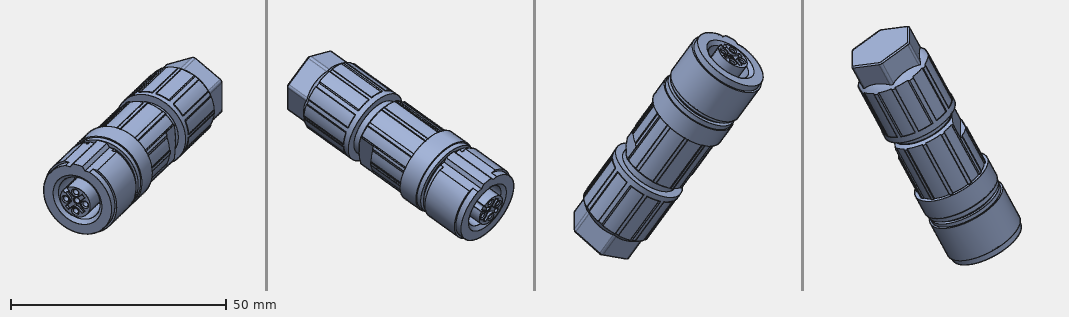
import cadquery as cq
import math

LENGTH = 58.0

SLEEVE_FRONT = 1.1
SLEEVE_BAND_REAR = 2.7
SLEEVE_BODY_REAR = 12.1
SLEEVE_REAR = 13.05
FRONT_NECK_REAR = 13.75
SHOULDER_REAR = 14.95
COLLAR_REAR = 20.0
GRIP_CHAMFER = 34.4
GRIP_REAR = 35.05
REAR_NECK_REAR = 36.8
NUT_BAND_REAR = 38.35
NUT_REAR = 50.75
CROWN_MIDDLE = 51.75
CROWN_REAR = 52.5

OUTER_RADIUS = 18.95 / 2
SLEEVE_BAND_RADIUS = 9.0
FRONT_NECK_RADIUS = 8.1
NUT_RADIUS = 9.15
GRIP_RADIUS = 8.8
GRIP_REAR_RADIUS = 7.55
REAR_NECK_RADIUS = 7.25
CROWN_MIDDLE_RADIUS = 8.35

HEX_FLAT = 7.4
HEX_CORNER_FILLET = 0.85
HEX_END_CHAMFER = 0.35

RIB_WIDTH = 0.85
NUT_POCKET_DEPTH = 0.2
NUT_END_WALL = 8.2
NUT_MIDDLE_WALL = 5.05
GRIP_POCKET_DEPTH = 0.3
GRIP_TOP_WALL_ANGLE = 30.4
GRIP_SIDE_WALL = 7.8
GRIP_MIDDLE_WALL_X = 5.15
GRIP_MIDDLE_WALL_Z = 4.8

WRENCH_FLAT = HEX_FLAT
WRENCH_FLAT_FRONT = 30.45
WRENCH_STEP_RUN = 0.4

SLEEVE_FLAT_HEIGHT = 8.4
RIDGE_TOP_WIDTH = 2.45
RIDGE_BASE_WIDTH = 3.95

SOCKET_MOUTH_RADIUS = 6.45
SOCKET_RADIUS = 5.5
SOCKET_CHAMFER_DEPTH = 0.85
SOCKET_DEPTH = 8.7
INSERT_RADIUS = 3.95
KEYWAY_RADIUS = 0.75
KEYWAY_CENTRE = 3.6
KEYWAY_ANGLE = 135
CONTACT_CIRCLE_RADIUS = 2.55
CONTACT_COUNT = 4
CONTACT_MOUTH_RADIUS = 1.0
CONTACT_BORE_RADIUS = 0.7
CENTRE_MOUTH_RADIUS = 0.85
CONTACT_DEPTH = 3.5
CROSS_ARM_WIDTH = 1.05
CROSS_ARM_REACH = 3.1
CROSS_DEPTH = 0.7


def along_y(start):
    """XZ workplane at Y = start; a negative extrusion length runs toward +Y."""
    return cq.Workplane("XZ", origin=(0, start, 0))


def cylinder(radius, start, end):
    return along_y(start).circle(radius).extrude(start - end)


def turned_body():
    """Sleeve, collar, grip, nut and crown as one turned solid."""
    return (
        cq.Workplane("XY")
        .moveTo(0, SLEEVE_FRONT)
        .lineTo(SLEEVE_BAND_RADIUS, SLEEVE_FRONT)
        .lineTo(SLEEVE_BAND_RADIUS, SLEEVE_BAND_REAR)
        .lineTo(OUTER_RADIUS, SLEEVE_BAND_REAR)
        .lineTo(OUTER_RADIUS, SLEEVE_BODY_REAR)
        .lineTo(SLEEVE_BAND_RADIUS, SLEEVE_BODY_REAR)
        .lineTo(SLEEVE_BAND_RADIUS, SLEEVE_REAR)
        .lineTo(FRONT_NECK_RADIUS, SLEEVE_REAR)
        .lineTo(FRONT_NECK_RADIUS, FRONT_NECK_REAR)
        .lineTo(NUT_RADIUS, FRONT_NECK_REAR)
        .lineTo(NUT_RADIUS, SHOULDER_REAR)
        .lineTo(OUTER_RADIUS, SHOULDER_REAR)
        .lineTo(OUTER_RADIUS, COLLAR_REAR)
        .lineTo(GRIP_RADIUS, COLLAR_REAR)
        .lineTo(GRIP_RADIUS, GRIP_CHAMFER)
        .lineTo(GRIP_REAR_RADIUS, GRIP_REAR)
        .lineTo(REAR_NECK_RADIUS, GRIP_REAR)
        .lineTo(REAR_NECK_RADIUS, REAR_NECK_REAR)
        .lineTo(NUT_RADIUS, REAR_NECK_REAR)
        .lineTo(NUT_RADIUS, NUT_REAR)
        .threePointArc((CROWN_MIDDLE_RADIUS, CROWN_MIDDLE), (HEX_FLAT, CROWN_REAR))
        .lineTo(0, CROWN_REAR)
        .close()
        .revolve(360, (0, 0, 0), (0, 1, 0))
    )


def hex_end():
    """Chamfered hexagon, long enough to be rooted inside the nut."""
    corner_diameter = 2 * HEX_FLAT / math.cos(math.pi / 6)
    return (
        along_y(NUT_BAND_REAR)
        .transformed(rotate=(0, 0, 90))
        .polygon(6, corner_diameter)
        .extrude(NUT_BAND_REAR - LENGTH)
        .edges("|Y")
        .fillet(HEX_CORNER_FILLET)
        .faces(">Y")
        .chamfer(HEX_END_CHAMFER)
    )


def corner_region(x, z, start, end):
    """Everything beyond x and beyond z in the +X +Z quadrant."""
    return along_y(start).moveTo(x, z).rect(LENGTH, LENGTH, centered=False).extrude(start - end)


def nut_pocket_outlines(start, end):
    half_rib = RIB_WIDTH / 2
    return [
        corner_region(half_rib, NUT_END_WALL, start, end),
        corner_region(NUT_MIDDLE_WALL, NUT_MIDDLE_WALL, start, end),
        corner_region(NUT_END_WALL, half_rib, start, end),
    ]


def grip_pocket_outlines(start, end):
    half_rib = RIB_WIDTH / 2
    wall_slope = math.tan(math.radians(GRIP_TOP_WALL_ANGLE))
    top_pocket = (
        along_y(start)
        .moveTo(half_rib, half_rib / wall_slope)
        .lineTo(half_rib, LENGTH)
        .lineTo(LENGTH * wall_slope, LENGTH)
        .close()
        .extrude(start - end)
    )
    return [
        top_pocket,
        corner_region(GRIP_MIDDLE_WALL_X, GRIP_MIDDLE_WALL_Z, start, end),
        corner_region(GRIP_SIDE_WALL, half_rib, start, end),
    ]


def rib_pockets(outlines, floor_radius, start, end):
    """Pockets outside floor_radius, mirrored from the +X +Z quadrant into all four."""
    ring = cylinder(OUTER_RADIUS, start, end).cut(cylinder(floor_radius, start, end))
    quadrant = [outline.intersect(ring) for outline in outlines]
    upper = quadrant + [pocket.mirror("YZ") for pocket in quadrant]
    return upper + [pocket.mirror("XY") for pocket in upper]


def wrench_flat(side):
    """Material beyond the wrench flat; side is 1 for +X and -1 for -X."""
    step_slope = WRENCH_STEP_RUN / (GRIP_RADIUS - WRENCH_FLAT)
    step_front = WRENCH_FLAT_FRONT - step_slope * (OUTER_RADIUS - WRENCH_FLAT)
    return (
        cq.Workplane("XY")
        .moveTo(side * WRENCH_FLAT, WRENCH_FLAT_FRONT)
        .lineTo(side * OUTER_RADIUS, step_front)
        .lineTo(side * OUTER_RADIUS, GRIP_REAR)
        .lineTo(side * WRENCH_FLAT, GRIP_REAR)
        .close()
        .extrude(OUTER_RADIUS, both=True)
    )


def ridge_flat(side):
    """Material beside the index ridge; side is 1 for +X and -1 for -X."""
    return (
        along_y(SLEEVE_FRONT)
        .moveTo(side * RIDGE_BASE_WIDTH / 2, SLEEVE_FLAT_HEIGHT)
        .lineTo(side * OUTER_RADIUS, SLEEVE_FLAT_HEIGHT)
        .lineTo(side * OUTER_RADIUS, OUTER_RADIUS)
        .lineTo(side * RIDGE_TOP_WIDTH / 2, OUTER_RADIUS)
        .close()
        .extrude(SLEEVE_FRONT - SLEEVE_REAR)
    )


def index_ridge():
    """Ridge that carries the full outer radius over both ends of the sleeve."""
    blank = (
        along_y(SLEEVE_FRONT)
        .polyline([
            (-RIDGE_BASE_WIDTH / 2, SLEEVE_FLAT_HEIGHT),
            (RIDGE_BASE_WIDTH / 2, SLEEVE_FLAT_HEIGHT),
            (RIDGE_TOP_WIDTH / 2, OUTER_RADIUS),
            (-RIDGE_TOP_WIDTH / 2, OUTER_RADIUS),
        ])
        .close()
        .extrude(SLEEVE_FRONT - SLEEVE_REAR)
    )
    return blank.intersect(cylinder(OUTER_RADIUS, SLEEVE_FRONT, SLEEVE_REAR))


def socket():
    socket_floor = SLEEVE_FRONT + SOCKET_DEPTH
    return (
        cq.Workplane("XY")
        .moveTo(0, SLEEVE_FRONT)
        .lineTo(SOCKET_MOUTH_RADIUS, SLEEVE_FRONT)
        .lineTo(SOCKET_RADIUS, SLEEVE_FRONT + SOCKET_CHAMFER_DEPTH)
        .lineTo(SOCKET_RADIUS, socket_floor)
        .lineTo(0, socket_floor)
        .close()
        .revolve(360, (0, 0, 0), (0, 1, 0))
    )


def contact_hole(x, z, mouth_radius):
    """Countersunk blind hole starting at Y = 0."""
    return (
        cq.Workplane("XY")
        .lineTo(mouth_radius, 0)
        .lineTo(CONTACT_BORE_RADIUS, mouth_radius - CONTACT_BORE_RADIUS)
        .lineTo(CONTACT_BORE_RADIUS, CONTACT_DEPTH)
        .lineTo(0, CONTACT_DEPTH)
        .close()
        .revolve(360, (0, 0, 0), (0, 1, 0))
        .translate((x, 0, z))
    )


def cross_recess():
    """Diagonal cross whose inner corners are rounded concentric with the contacts."""
    arm = (
        along_y(0)
        .transformed(rotate=(0, 0, 45))
        .rect(2 * CROSS_ARM_REACH, CROSS_ARM_WIDTH)
        .extrude(-CROSS_DEPTH)
    )
    other_arm = arm.rotate((0, 0, 0), (0, 1, 0), 90)
    corner_radius = CONTACT_CIRCLE_RADIUS / math.sqrt(2) - CROSS_ARM_WIDTH / 2
    inner_corners = cq.selectors.BoxSelector(
        (-CROSS_ARM_WIDTH, -LENGTH, -CROSS_ARM_WIDTH),
        (CROSS_ARM_WIDTH, LENGTH, CROSS_ARM_WIDTH),
    )
    return arm.union(other_arm).edges("|Y").edges(inner_corners).fillet(corner_radius)


def contact_insert():
    """Keyed insert standing on the socket floor, with a centre contact and a ring of contacts."""
    socket_floor = SLEEVE_FRONT + SOCKET_DEPTH
    insert = cylinder(INSERT_RADIUS, 0, socket_floor)
    keyway_x = KEYWAY_CENTRE * math.cos(math.radians(KEYWAY_ANGLE))
    keyway_z = KEYWAY_CENTRE * math.sin(math.radians(KEYWAY_ANGLE))
    keyway = cylinder(KEYWAY_RADIUS, 0, socket_floor)
    insert = insert.cut(keyway.translate((keyway_x, 0, keyway_z)))
    insert = insert.cut(cross_recess())
    centre_hole = contact_hole(0, 0, CENTRE_MOUTH_RADIUS).translate((0, CROSS_DEPTH, 0))
    insert = insert.cut(centre_hole)
    for index in range(CONTACT_COUNT):
        angle = index * 2 * math.pi / CONTACT_COUNT
        x = CONTACT_CIRCLE_RADIUS * math.cos(angle)
        z = CONTACT_CIRCLE_RADIUS * math.sin(angle)
        insert = insert.cut(contact_hole(x, z, CONTACT_MOUTH_RADIUS))
    return insert


nut_span = (NUT_BAND_REAR, CROWN_REAR)
grip_span = (COLLAR_REAR, GRIP_REAR)
nut_pockets = rib_pockets(nut_pocket_outlines(*nut_span), NUT_RADIUS - NUT_POCKET_DEPTH, *nut_span)
grip_pockets = rib_pockets(grip_pocket_outlines(*grip_span), GRIP_RADIUS - GRIP_POCKET_DEPTH, *grip_span)

body = turned_body().union(hex_end())
for pocket in nut_pockets + grip_pockets:
    body = body.cut(pocket)
for side in (-1, 1):
    body = body.cut(wrench_flat(side))
    body = body.cut(ridge_flat(side))
body = body.union(index_ridge())
result = body.cut(socket()).union(contact_insert())